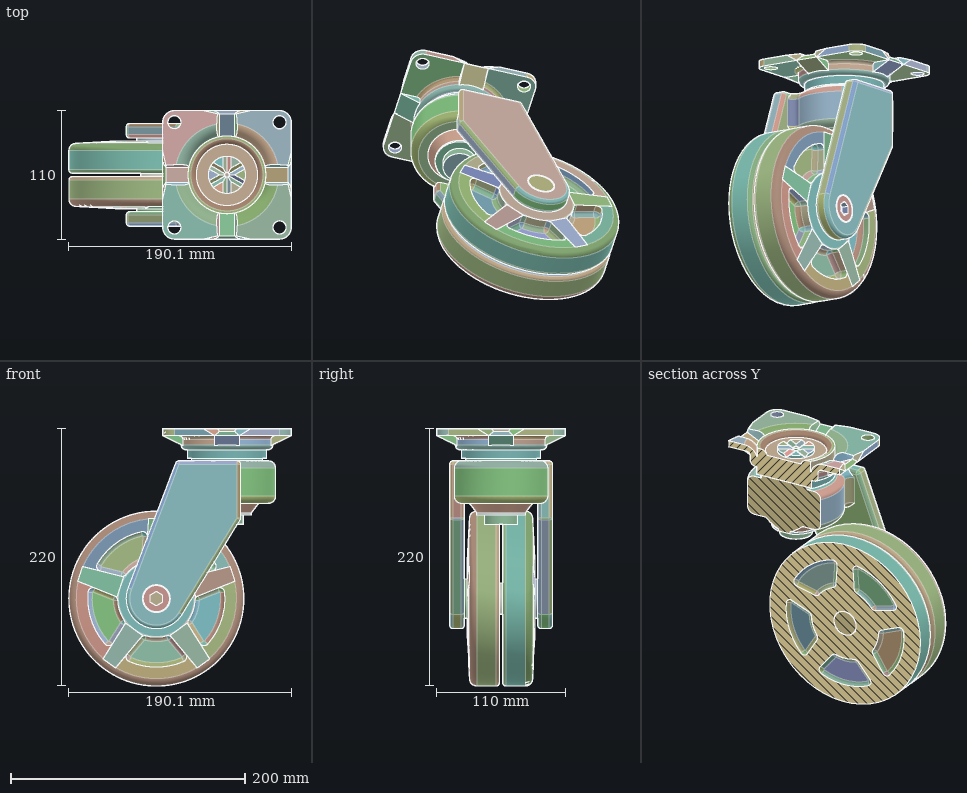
import cadquery as cq
import math


total_height = 220.0

wheel_radius = 74.8
axle_x = -60.3
axle_z = wheel_radius
axle_radius = 11.2

hub_spacer_radius = 13.5
wheel_inner_y = 1.3
wheel_rim_y = 27.0
wheel_hub_y = 29.0
hub_radius = 32.3
washer_radius = 17.0
tread_inner_fillet = 3.0
tread_outer_fillet = 6.4

spoke_count = 5
spoke_root_half = 9.0
spoke_tip_half = 6.5
pocket_inner_radius = 33.0
pocket_outer_radius = 58.5
pocket_floor_y = 18.0
pocket_corner_radius = 4.2
pocket_floor_fillet = 3.7

leg_inner_y = 31.2
leg_outer_y = 44.0
leg_end_radius = 25.7
leg_top_z = 192.5
leg_rear_x = -43.1
leg_front_x = 11.7
leg_front_low_z = 142.8
leg_fillet = 3.0
head_radius = 41.5
head_bottom_z = 156.0
head_fillet = 6.4
head_corner_fillet = 5.5
neck_radius = 30.4
cone_top_radius = 27.0
cone_bottom_radius = 21.0
cone_bottom_z = 148.0
collar_bottom_z = 146.0
pivot_tip_radius = 14.0
pivot_tip_z = 138.1
axle_groove_width = 0.7
axle_groove_depth = 0.2
hex_across_flats = 10.5
hex_depth = 6.5

plate_size = 110.0
plate_thickness = 6.2
plate_corner_radius = 10.3
bolt_hole_radius = 5.5
bolt_hole_offset = 44.9
bowl_radius = 39.2
bowl_bottom_z = 201.7
bowl_bottom_fillet = 4.2
bowl_root_fillet = 3.0
trough_radius = 44.2
core_radius = 33.2
race_radius = 33.9
race_bottom_z = 194.5
core_recess_radius = 30.8
core_recess_depth = 4.6

channel_floor_half = 6.4
channel_inner_half = 9.7
channel_outer_half = 8.1
channel_outer_depth = 2.5
channel_outer_r = 52.1
channel_slope = 26.0
rib_half_width = 10.5
notch_half_width = 20.7

button_radius = 15.8
button_height = 3.0
star_groove_half = 3.3
star_groove_depth = 2.6
star_groove_count = 3
button_pin_radius = 2.0

plate_bottom_z = total_height - plate_thickness
plate_half = plate_size / 2


def cylinder_z(radius, z_low, z_high):
    return cq.Workplane("XY").workplane(offset=z_low).circle(radius).extrude(z_high - z_low)


def axle_plane(y):
    """Plane square to the axle at the given Y, centred on the axle, with its normal along -Y."""
    return cq.Workplane(cq.Plane(origin=(axle_x, y, axle_z), xDir=(1, 0, 0), normal=(0, -1, 0)))


def point_on_circle(radius, angle):
    return (radius * math.cos(angle), radius * math.sin(angle))


def plate_bowl():
    """Dished middle of the plate, rounded into the underside and at its own bottom edge."""
    wall_top = plate_bottom_z - bowl_root_fillet
    wall_bottom = bowl_bottom_z + bowl_bottom_fillet
    bend = 1 - math.sqrt(0.5)
    profile = (
        cq.Workplane("XZ")
        .moveTo(0, plate_bottom_z)
        .lineTo(bowl_radius + bowl_root_fillet, plate_bottom_z)
        .threePointArc(
            (bowl_radius + bend * bowl_root_fillet, plate_bottom_z - bend * bowl_root_fillet),
            (bowl_radius, wall_top),
        )
        .lineTo(bowl_radius, wall_bottom)
        .threePointArc(
            (bowl_radius - bend * bowl_bottom_fillet, bowl_bottom_z + bend * bowl_bottom_fillet),
            (bowl_radius - bowl_bottom_fillet, bowl_bottom_z),
        )
        .lineTo(0, bowl_bottom_z)
        .close()
    )
    return profile.revolve(360, (0, 0, 0), (0, 1, 0))


def plate_trough():
    """Material pressed out of the plate top: a quarter-round bend running down to the core."""
    bend_radius = trough_radius - core_radius
    middle = bend_radius * math.sqrt(0.5)
    profile = (
        cq.Workplane("XZ")
        .moveTo(0, total_height)
        .lineTo(trough_radius, total_height)
        .threePointArc(
            (trough_radius - middle, total_height - bend_radius + middle),
            (core_radius, total_height - bend_radius),
        )
        .lineTo(0, total_height - bend_radius)
        .close()
    )
    return profile.revolve(360, (0, 0, 0), (0, 1, 0))


def plate_core():
    """Bearing race with the round, recessed top that sits inside the trough."""
    recess_floor_z = total_height - core_recess_depth
    race_top_z = bowl_bottom_z + bowl_bottom_fillet
    bend = core_recess_depth * math.sqrt(0.5)
    profile = (
        cq.Workplane("XZ")
        .moveTo(0, race_bottom_z)
        .lineTo(race_radius, race_bottom_z)
        .lineTo(race_radius, race_top_z)
        .lineTo(core_radius, race_top_z)
        .lineTo(core_radius, total_height)
        .lineTo(core_recess_radius, total_height)
        .threePointArc(
            (core_recess_radius - bend, recess_floor_z + bend),
            (core_recess_radius - core_recess_depth, recess_floor_z),
        )
        .lineTo(0, recess_floor_z)
        .close()
    )
    return profile.revolve(360, (0, 0, 0), (0, 1, 0))


def star_button():
    """Round button cut by V-shaped grooves that cross at a small centre pin."""
    base_z = total_height - core_recess_depth
    top_z = base_z + button_height
    button = cylinder_z(button_radius, base_z, top_z)
    groove = (
        cq.Workplane("XZ")
        .polyline(
            [
                (-star_groove_half, top_z),
                (star_groove_half, top_z),
                (0, top_z - star_groove_depth),
            ]
        )
        .close()
        .extrude(button_radius + 2.2, both=True)
    )
    for index in range(star_groove_count):
        button = button.cut(groove.rotate((0, 0, 0), (0, 0, 1), index * 180 / star_groove_count))
    return button.union(cylinder_z(button_pin_radius, base_z, top_z))


def trapezoid_loft(near_x, near, far_x, far):
    """Ruled solid along X between two trapezoids: (half width at plate top, at floor, depth)."""
    sections = []
    for x, (top_half, floor_half, depth) in ((near_x, near), (far_x, far)):
        floor_z = total_height - depth
        corners = [
            (x, -top_half, total_height),
            (x, top_half, total_height),
            (x, floor_half, floor_z),
            (x, -floor_half, floor_z),
        ]
        sections.append(cq.Wire.makePolygon([cq.Vector(*corner) for corner in corners], close=True))
    return cq.Workplane(cq.Solid.makeLoft(sections, True))


def channel_rib():
    """Sloping underside of one channel, along +X."""
    slope = math.tan(math.radians(channel_slope))
    inner_z = plate_bottom_z - slope * (plate_half - race_radius)
    return (
        cq.Workplane("XZ")
        .polyline([(plate_half, plate_bottom_z), (race_radius, inner_z), (race_radius, plate_bottom_z)])
        .close()
        .extrude(rib_half_width, both=True)
    )


def channel_cut():
    """Sloping channel along +X, deepest beside the core."""
    inner_r = core_recess_radius
    slope = math.tan(math.radians(channel_slope))
    inner_depth = channel_outer_depth + slope * (channel_outer_r - inner_r)
    return trapezoid_loft(
        inner_r,
        (channel_inner_half, channel_floor_half, inner_depth),
        channel_outer_r,
        (channel_outer_half, channel_floor_half, channel_outer_depth),
    )


def edge_notch():
    """Slanted cut at the outer end of one channel, widening towards the plate edge."""
    return trapezoid_loft(
        channel_outer_r,
        (channel_outer_half, channel_floor_half, channel_outer_depth),
        plate_half,
        (notch_half_width, rib_half_width, plate_thickness),
    )


def mounting_plate():
    plate = (
        cq.Workplane("XY")
        .workplane(offset=plate_bottom_z)
        .rect(plate_size, plate_size)
        .extrude(plate_thickness)
        .edges("|Z")
        .fillet(plate_corner_radius)
        .faces(">Z")
        .workplane()
        .rect(2 * bolt_hole_offset, 2 * bolt_hole_offset, forConstruction=True)
        .vertices()
        .hole(2 * bolt_hole_radius)
    )
    plate = plate.union(plate_bowl())
    quarter_turns = range(0, 360, 90)
    for angle in quarter_turns:
        plate = plate.union(channel_rib().rotate((0, 0, 0), (0, 0, 1), angle))
    plate = plate.cut(plate_trough())
    for angle in quarter_turns:
        plate = plate.cut(channel_cut().rotate((0, 0, 0), (0, 0, 1), angle))
        plate = plate.cut(edge_notch().rotate((0, 0, 0), (0, 0, 1), angle))
    return plate.union(plate_core()).union(star_button())


def tangent_angle(x, z, side):
    """Angle on the leg's round end where the straight edge from (x, z) touches it."""
    dx = x - axle_x
    dz = z - axle_z
    half_angle = math.acos(leg_end_radius / math.hypot(dx, dz))
    return math.atan2(dz, dx) + side * half_angle


def fork_leg(outer_y):
    """Leg whose two slanted edges run tangent into the round end about the axle."""
    rear_angle = tangent_angle(leg_rear_x, leg_top_z, 1)
    front_angle = tangent_angle(leg_front_x, leg_front_low_z, -1)
    top = leg_top_z - axle_z
    front_low = leg_front_low_z - axle_z
    rear = leg_rear_x - axle_x
    front = leg_front_x - axle_x
    return (
        axle_plane(outer_y)
        .moveTo(rear, top)
        .lineTo(*point_on_circle(leg_end_radius, rear_angle))
        .threePointArc((0, -leg_end_radius), point_on_circle(leg_end_radius, front_angle))
        .lineTo(front, front_low)
        .lineTo(front, top)
        .close()
        .extrude(leg_inner_y - leg_outer_y)
        .edges()
        .fillet(leg_fillet)
    )


def head_flare():
    """Rear of the head, flaring through concave corners into the inside of both legs."""
    corner_y = leg_inner_y - head_corner_fillet
    corner_reach = head_radius + head_corner_fillet
    corner_x = -math.sqrt(corner_reach**2 - corner_y**2)
    corner_angle = math.atan2(corner_y, corner_x)
    arc_x, arc_y = point_on_circle(head_corner_fillet, (corner_angle - math.pi / 2) / 2)
    side_x, side_y = point_on_circle(head_radius, corner_angle)
    root_y = leg_inner_y + 1.1 * head_fillet
    flare = (
        cq.Workplane("XY")
        .workplane(offset=head_bottom_z)
        .moveTo(side_x, side_y)
        .threePointArc((-head_radius, 0), (side_x, -side_y))
        .threePointArc((corner_x + arc_x, -corner_y - arc_y), (corner_x, -leg_inner_y))
        .lineTo(corner_x, -root_y)
        .lineTo(corner_x / 3, -root_y)
        .lineTo(corner_x / 3, root_y)
        .lineTo(corner_x, root_y)
        .lineTo(corner_x, leg_inner_y)
        .threePointArc((corner_x + arc_x, corner_y + arc_y), (side_x, side_y))
        .close()
        .extrude(leg_top_z - head_bottom_z)
    )
    return flare.edges("%CIRCLE").fillet(head_fillet)


def fork_head():
    head = cylinder_z(head_radius, head_bottom_z, leg_top_z).edges().fillet(head_fillet)
    return head.union(head_flare())


def pivot():
    """Neck above the head, and the cone, collar and tip of the pivot below it."""
    profile = (
        cq.Workplane("XZ")
        .polyline(
            [
                (0, race_bottom_z),
                (neck_radius, race_bottom_z),
                (neck_radius, head_bottom_z),
                (cone_top_radius, head_bottom_z),
                (cone_bottom_radius, cone_bottom_z),
                (cone_bottom_radius, collar_bottom_z),
                (pivot_tip_radius, collar_bottom_z),
                (pivot_tip_radius, pivot_tip_z),
                (0, pivot_tip_z),
            ]
        )
        .close()
    )
    return profile.revolve(360, (0, 0, 0), (0, 1, 0))


def axle():
    return axle_plane(leg_outer_y).circle(axle_radius).extrude(2 * leg_outer_y)


def axle_groove(y):
    """Thin ring around the axle end, cut inward from the leg face at y."""
    inward = math.copysign(axle_groove_depth, y)
    return (
        axle_plane(y)
        .circle(axle_radius + axle_groove_width)
        .circle(axle_radius)
        .extrude(inward)
    )


def hex_socket():
    across_corners = hex_across_flats / math.cos(math.radians(30))
    return axle_plane(-leg_outer_y).transformed(rotate=(0, 0, 30)).polygon(6, across_corners).extrude(-hex_depth)


def fork():
    body = fork_head()
    body = body.union(fork_leg(-leg_outer_y))
    body = body.union(fork_leg(-leg_outer_y).mirror("XZ"))
    body = body.union(pivot()).union(axle())
    for y in (-leg_outer_y, leg_outer_y):
        body = body.cut(axle_groove(y))
    return body.cut(hex_socket())


def wheel_disc():
    """Turned wheel on the -Y side; each profile point is (radius, distance from the middle plane)."""

    def point(radius, distance):
        return (axle_x + radius, -distance)

    inner_bend = tread_inner_fillet * (1 - math.sqrt(0.5))
    outer_bend = tread_outer_fillet * (1 - math.sqrt(0.5))
    profile = (
        cq.Workplane("XY")
        .moveTo(*point(axle_radius, 0))
        .lineTo(*point(hub_spacer_radius, 0))
        .lineTo(*point(hub_spacer_radius, wheel_inner_y))
        .lineTo(*point(wheel_radius - tread_inner_fillet, wheel_inner_y))
        .threePointArc(
            point(wheel_radius - inner_bend, wheel_inner_y + inner_bend),
            point(wheel_radius, wheel_inner_y + tread_inner_fillet),
        )
        .lineTo(*point(wheel_radius, wheel_rim_y - tread_outer_fillet))
        .threePointArc(
            point(wheel_radius - outer_bend, wheel_rim_y - outer_bend),
            point(wheel_radius - tread_outer_fillet, wheel_rim_y),
        )
        .lineTo(*point(hub_radius, wheel_hub_y))
        .lineTo(*point(washer_radius, wheel_hub_y))
        .lineTo(*point(washer_radius, leg_inner_y))
        .lineTo(*point(axle_radius, leg_inner_y))
        .close()
    )
    return profile.revolve(360, (axle_x, 0, 0), (axle_x, 1, 0)).translate((0, 0, axle_z))


def spoke():
    """Flat, tapering spoke face straight up from the axle, sloping from the hub to the rim."""
    rim_radius = wheel_radius - tread_outer_fillet
    outline = (
        axle_plane(0)
        .polyline(
            [
                (-spoke_root_half, hub_radius),
                (spoke_root_half, hub_radius),
                (spoke_tip_half, rim_radius),
                (-spoke_tip_half, rim_radius),
            ]
        )
        .close()
        .extrude(wheel_hub_y)
    )
    side_profile = (
        cq.Workplane(cq.Plane(origin=(axle_x, 0, axle_z), xDir=(0, -1, 0), normal=(-1, 0, 0)))
        .polyline(
            [
                (pocket_floor_y, hub_radius),
                (wheel_hub_y, hub_radius),
                (wheel_rim_y, rim_radius),
                (pocket_floor_y, rim_radius),
            ]
        )
        .close()
        .extrude(spoke_root_half, both=True)
    )
    return outline.intersect(side_profile)


def pocket_corner(radius, side):
    """Where the tapering side of the neighbouring spoke meets a circle about the axle."""
    rim_radius = wheel_radius - tread_outer_fillet
    taper = math.atan((spoke_root_half - spoke_tip_half) / (rim_radius - hub_radius))
    line_distance = spoke_root_half * math.cos(taper) + hub_radius * math.sin(taper)
    angle_from_spoke = math.asin(line_distance / radius) - taper
    half_sector = math.pi / spoke_count
    return point_on_circle(radius, -math.pi / 2 + side * (half_sector - angle_from_spoke))


def wheel_pocket():
    """Pocket below the hub, bounded by two arcs about the axle and the two neighbouring spokes."""
    pocket_depth = wheel_hub_y - pocket_floor_y
    return (
        axle_plane(-pocket_floor_y)
        .moveTo(*pocket_corner(pocket_inner_radius, -1))
        .threePointArc((0, -pocket_inner_radius), pocket_corner(pocket_inner_radius, 1))
        .lineTo(*pocket_corner(pocket_outer_radius, 1))
        .threePointArc((0, -pocket_outer_radius), pocket_corner(pocket_outer_radius, -1))
        .close()
        .extrude(pocket_depth)
        .edges("|Y")
        .fillet(pocket_corner_radius)
        .faces(">Y")
        .edges()
        .fillet(pocket_floor_fillet)
    )


def wheel(turn):
    """One wheel, turned about the vertical through the axle: 0 for the -Y side, 180 for +Y."""
    body = wheel_disc()
    axle_start = (axle_x, 0, axle_z)
    axle_end = (axle_x, 1, axle_z)
    for index in range(spoke_count):
        angle = index * 360 / spoke_count
        body = body.union(spoke().rotate(axle_start, axle_end, angle))
        body = body.cut(wheel_pocket().rotate(axle_start, axle_end, angle))
    return body.rotate((axle_x, 0, 0), (axle_x, 0, 1), turn)


plate_body = mounting_plate()
fork_body = fork()
wheels = [wheel(turn) for turn in (0, 180)]

result = cq.Compound.makeCompound(
    [plate_body.val(), fork_body.val(), *[body.val() for body in wheels]]
)